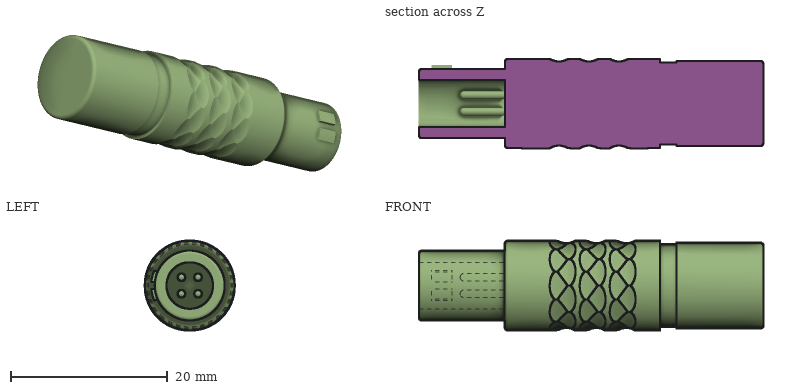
import cadquery as cq
import math

total_length = 44.0
shoulder_x = 10.95
sleeve_end_x = 30.8
neck_end_x = 32.85

nose_diameter = 8.95
sleeve_diameter = 11.5
neck_diameter = 10.55
rear_diameter = 10.95
bore_diameter = 5.95

nose_round = 0.45
end_round = 0.5

bore_depth = shoulder_x
pin_diameter = 0.95
pin_offset = 1.05
pin_tip_depth = 5.3

key_start_x = 1.65
key_length = 2.65
key_outer_radius = 4.95
key_inner_angle = 5.5
key_outer_angle = 23.0
key_embed = 0.2

row_count = 3
row_pitch = 3.85
first_row_x = 18.35
ring_spacing = 0.92
dimples_per_ring = 10
dimple_depth = 0.345
dimple_half_width = 1.2
dimple_cutter_length = 6.15


def body_section(start_x, end_x, diameter):
    """Round bar along X between two stations."""
    return cq.Workplane("YZ", origin=(start_x, 0, 0)).circle(diameter / 2).extrude(end_x - start_x)


def turned_body():
    """Nose, sleeve, neck and rear shell in one piece."""
    nose = body_section(0, shoulder_x, nose_diameter).faces("<X").edges().fillet(nose_round)
    sleeve = body_section(shoulder_x, sleeve_end_x, sleeve_diameter).faces("<X").edges().fillet(end_round)
    neck = body_section(sleeve_end_x, neck_end_x, neck_diameter)
    rear = body_section(neck_end_x, total_length, rear_diameter).faces(">X").edges().fillet(end_round)
    return nose.union(sleeve).union(neck).union(rear)


def contact_pins():
    """Four round pins with hemispherical tips facing the mouth."""
    pin_radius = pin_diameter / 2
    dome_x = pin_tip_depth + pin_radius
    pin_spots = (
        cq.Workplane("YZ", origin=(dome_x, 0, 0))
        .rect(2 * pin_offset, 2 * pin_offset, forConstruction=True)
        .vertices()
    )
    shanks = pin_spots.circle(pin_radius).extrude(bore_depth - dome_x)
    domes = pin_spots.sphere(pin_radius)
    return shanks.union(domes)


def key(side):
    """Curved key segment beside the +Y line, above it (side=1) or below it (side=-1)."""
    root_radius = nose_diameter / 2 - key_embed
    mid_angle = (key_inner_angle + key_outer_angle) / 2

    def point(radius, angle):
        turn = math.radians(side * angle)
        return radius * math.cos(turn), radius * math.sin(turn)

    return (
        cq.Workplane("YZ", origin=(key_start_x, 0, 0))
        .moveTo(*point(root_radius, key_inner_angle))
        .lineTo(*point(key_outer_radius, key_inner_angle))
        .threePointArc(point(key_outer_radius, mid_angle), point(key_outer_radius, key_outer_angle))
        .lineTo(*point(root_radius, key_outer_angle))
        .close()
        .extrude(key_length)
    )


def dimple_cutters(ring_x, start_angle):
    """Cylinders lying tangent around the sleeve, one for each scallop of a ring."""
    cutter_radius = (dimple_half_width**2 + dimple_depth**2) / (2 * dimple_depth)
    axis_offset = sleeve_diameter / 2 - dimple_depth + cutter_radius
    cutter = cq.Solid.makeCylinder(
        cutter_radius,
        dimple_cutter_length,
        cq.Vector(ring_x, -axis_offset, -dimple_cutter_length / 2),
        cq.Vector(0, 0, 1),
    )
    step = 360 / dimples_per_ring
    return [
        cutter.rotate(cq.Vector(0, 0, 0), cq.Vector(1, 0, 0), start_angle + i * step)
        for i in range(dimples_per_ring)
    ]


def grip_cutters():
    """All scallops; the rear ring of each row is turned by half a step."""
    half_step = 180 / dimples_per_ring
    cutters = []
    for row in range(row_count):
        row_x = first_row_x + row * row_pitch
        cutters += dimple_cutters(row_x - ring_spacing / 2, 0)
        cutters += dimple_cutters(row_x + ring_spacing / 2, half_step)
    return cutters


bore = body_section(0, bore_depth, bore_diameter)
body = turned_body().cut(bore).union(contact_pins())
body = body.union(key(1)).union(key(-1))
gripped = body.val().cut(*grip_cutters())
result = cq.Workplane("XY").newObject(gripped.Solids())